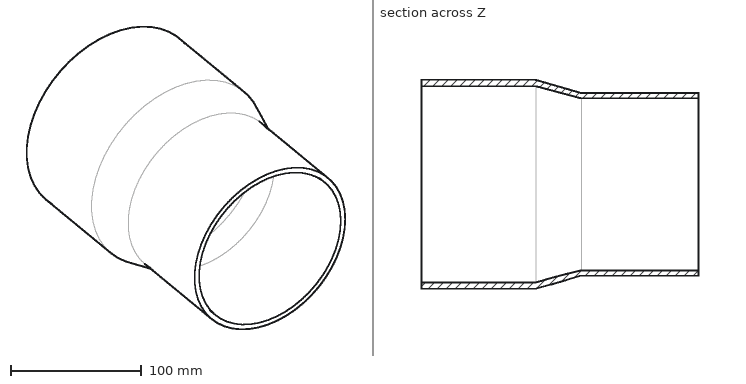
import cadquery as cq

total_length = 212.0
large_length = 87.3
taper_length = 34.8
taper_end = large_length + taper_length

large_outer_diameter = 160.0
large_inner_diameter = 150.0
small_outer_diameter = 140.0
small_inner_diameter = 131.5


def reducer_body(large_diameter, small_diameter):
    """Solid of revolution about X: large cylinder, cone, small cylinder."""
    large_radius = large_diameter / 2
    small_radius = small_diameter / 2
    return (
        cq.Workplane("XY")
        .polyline([
            (0, 0),
            (0, large_radius),
            (large_length, large_radius),
            (taper_end, small_radius),
            (total_length, small_radius),
            (total_length, 0),
        ])
        .close()
        .revolve(360, (0, 0, 0), (1, 0, 0))
    )


outside = reducer_body(large_outer_diameter, small_outer_diameter)
bore = reducer_body(large_inner_diameter, small_inner_diameter)
result = outside.cut(bore)